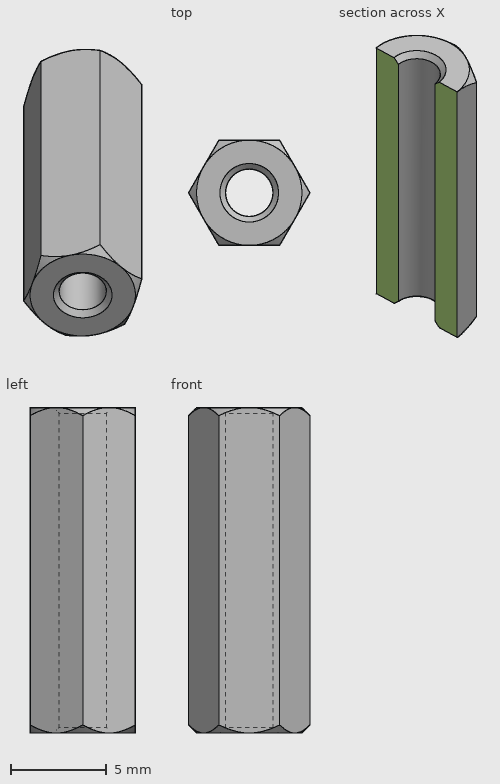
import cadquery as cq
import math

sides = 6
across_flats = 5.5
length = 17.0

bore_diameter = 2.46
countersink_diameter = 3.06
countersink_depth = (countersink_diameter - bore_diameter) / 2

across_corners = across_flats / math.cos(math.pi / sides)
corner_chamfer = (across_corners - across_flats) / 2


def hexagonal_bar():
    return (
        cq.Workplane("XY")
        .polygon(sides, across_corners)
        .extrude(length)
        .translate((0, 0, -length / 2))
    )


def chamfered_cylinder():
    """Round envelope through the hexagon's corners, chamfered at both ends."""
    return (
        cq.Workplane("XY")
        .circle(across_corners / 2)
        .extrude(length)
        .translate((0, 0, -length / 2))
        .faces("|Z")
        .edges()
        .chamfer(corner_chamfer)
    )


def countersunk_bore(body):
    bored = body.faces(">Z").workplane().hole(bore_diameter)
    bore_rims = cq.selectors.RadiusNthSelector(0)
    return bored.faces("|Z").edges("%CIRCLE").edges(bore_rims).chamfer(countersink_depth)


spacer_blank = hexagonal_bar().intersect(chamfered_cylinder())
result = countersunk_bore(spacer_blank).solids()